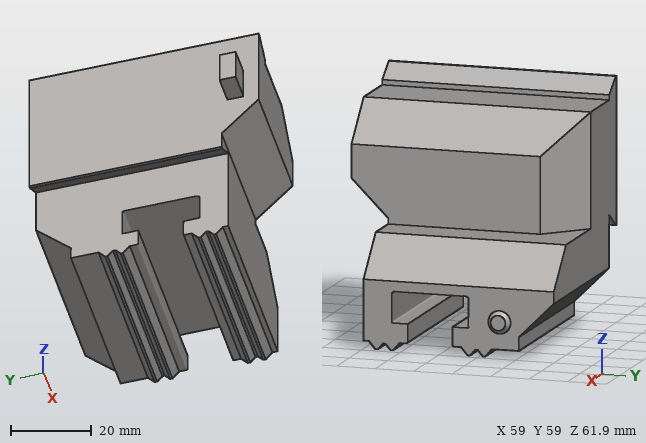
import cadquery as cq

face_x = 7.05
body_x = 13.05
upper_end_x = 37.95
base_end_x = 57.9
knob_tip_x = 59.0
slope = 9.9

top_z = 61.9
upper_top_z = 56.95
base_top_z = 27.4
flange_bottom_z = 24.2
base_bottom_z = 2.0
lip = 0.75
flange_rise = 3.65

depth = 59.0
base_front_y = 9.55
undercut_bottom_z = 28.9
undercut_top_z = undercut_bottom_z + base_front_y

back_cut_y = 49.95
back_cut_low_z = 5.5
back_cut_high_z = 14.5

slot_center_y = 26.85
slot_width = 19.95
slot_neck_width = 11.6
slot_shoulder_z = 6.95
slot_roof_z = 14.9
roof_radius = 0.8
shoulder_radius = 0.4
mouth_radius = 0.5

feet_centers_y = (14.9, 38.9)
feet_half_width = 4.0
tooth_offset = 2.0
tooth_half_flat = 0.3
valley_z = 1.55

pin_y, pin_width = 3.9, 4.15
pin_z, pin_height = 40.55, 8.85

knob_y, knob_z = 44.9, 8.9
knob_root_radius = 2.9
knob_tip_radius = 1.9


def box(x0, x1, y0, y1, z0, z1):
    """Box between two opposite corners."""
    return cq.Workplane("XY").box(x1 - x0, y1 - y0, z1 - z0, centered=False).translate((x0, y0, z0))


def extrude_along_y(points, y0, y1):
    """Extrude an X-Z outline from y0 to y1."""
    return cq.Workplane("XZ", origin=(0, y0, 0)).polyline(points).close().extrude(y0 - y1)


def extrude_along_x(points, x0, x1):
    """Extrude a Y-Z outline from x0 to x1."""
    return cq.Workplane("YZ", origin=(x0, 0, 0)).polyline(points).close().extrude(x1 - x0)


def make_upper():
    body = extrude_along_y([
        (face_x, flange_bottom_z),
        (face_x, top_z),
        (face_x + lip, top_z),
        (body_x, top_z - flange_rise),
        (body_x, upper_top_z),
        (upper_end_x - slope, upper_top_z),
        (upper_end_x, upper_top_z - slope),
        (upper_end_x, base_top_z),
        (body_x, base_top_z),
        (body_x, flange_bottom_z + flange_rise),
        (face_x + lip, flange_bottom_z),
    ], 0, depth)
    side_outline = extrude_along_x([
        (0, top_z),
        (depth, top_z),
        (depth, flange_bottom_z),
        (base_front_y, flange_bottom_z),
        (base_front_y, undercut_bottom_z),
        (0, undercut_top_z),
    ], face_x, upper_end_x)
    corner = (
        cq.Workplane("XY", origin=(0, 0, base_top_z))
        .moveTo(upper_end_x - slope, depth)
        .lineTo(upper_end_x, depth)
        .lineTo(upper_end_x, depth - slope)
        .close()
        .extrude(top_z - base_top_z)
    )
    return body.intersect(side_outline).cut(corner)


def make_slot():
    half = slot_width / 2
    channel = box(body_x, base_end_x, slot_center_y - half, slot_center_y + half, slot_shoulder_z, slot_roof_z)
    channel = channel.edges("|X and >Z").fillet(roof_radius)
    channel = channel.edges("|X and <Z").fillet(shoulder_radius)
    half_neck = slot_neck_width / 2
    neck = box(body_x, base_end_x, slot_center_y - half_neck, slot_center_y + half_neck,
               base_bottom_z, slot_shoulder_z)
    return channel.union(neck)


def make_feet(center_y):
    right_half = [
        (tooth_half_flat, valley_z),
        (tooth_offset - tooth_half_flat, 0),
        (tooth_offset + tooth_half_flat, 0),
        (feet_half_width, base_bottom_z),
    ]
    left_half = [(-y, z) for y, z in reversed(right_half)]
    points = [(center_y + y, z) for y, z in left_half + right_half]
    return extrude_along_x(points, body_x, base_end_x)


def make_base():
    body = extrude_along_y([
        (body_x, base_bottom_z),
        (body_x, base_top_z),
        (base_end_x - slope, base_top_z),
        (base_end_x, base_top_z - slope),
        (base_end_x, base_bottom_z),
    ], base_front_y, depth)
    back_cut = extrude_along_x([
        (depth, back_cut_high_z),
        (back_cut_y, back_cut_low_z),
        (back_cut_y, base_bottom_z),
        (depth, base_bottom_z),
    ], body_x, base_end_x)
    body = body.cut(back_cut).cut(make_slot())
    mouth_y = [slot_center_y + side * slot_neck_width / 2 for side in (-1, 1)]
    for y in mouth_y:
        mouth_edge = cq.selectors.NearestToPointSelector(((body_x + base_end_x) / 2, y, base_bottom_z))
        body = body.edges(mouth_edge).fillet(mouth_radius)
    for center_y in feet_centers_y:
        body = body.union(make_feet(center_y))
    return body


def make_pin():
    return box(0, face_x, pin_y, pin_y + pin_width, pin_z, pin_z + pin_height)


def make_knob():
    length = knob_tip_x - base_end_x
    cone = cq.Solid.makeCone(knob_root_radius, knob_tip_radius, length,
                             cq.Vector(base_end_x, knob_y, knob_z), cq.Vector(1, 0, 0))
    return cq.Workplane("XY").add(cone)


result = make_upper().union(make_base()).union(make_pin()).union(make_knob())